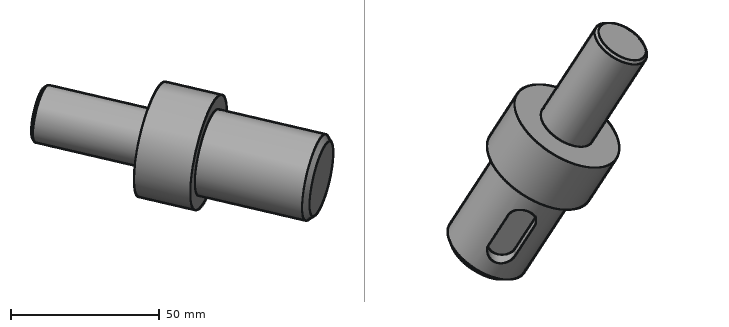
import cadquery as cq

slim_diameter = 20.0
slim_length = 40.0
slim_chamfer = 1.0
collar_diameter = 40.0
collar_length = 20.0
thick_diameter = 30.0
thick_length = 40.0
thick_chamfer = 2.0

keyway_length = 24.0
keyway_width = 10.0
keyway_depth = 5.0

collar_start = slim_length
thick_start = collar_start + collar_length


def shaft_section(start, length, diameter):
    """Solid cylinder along +X from the given start."""
    return cq.Workplane("YZ", origin=(start, 0, 0)).circle(diameter / 2).extrude(length)


def keyway_cutter():
    """Slot centred along the thick end, reaching up from its lowest line."""
    center_x = thick_start + thick_length / 2
    bottom_z = -thick_diameter / 2
    return (
        cq.Workplane("XY", origin=(center_x, 0, bottom_z))
        .slot2D(keyway_length, keyway_width)
        .extrude(keyway_depth)
    )


slim_end = shaft_section(0, slim_length, slim_diameter).faces("<X").chamfer(slim_chamfer)
collar = shaft_section(collar_start, collar_length, collar_diameter)
thick_end = shaft_section(thick_start, thick_length, thick_diameter).faces(">X").chamfer(thick_chamfer)

result = slim_end.union(collar).union(thick_end).cut(keyway_cutter())